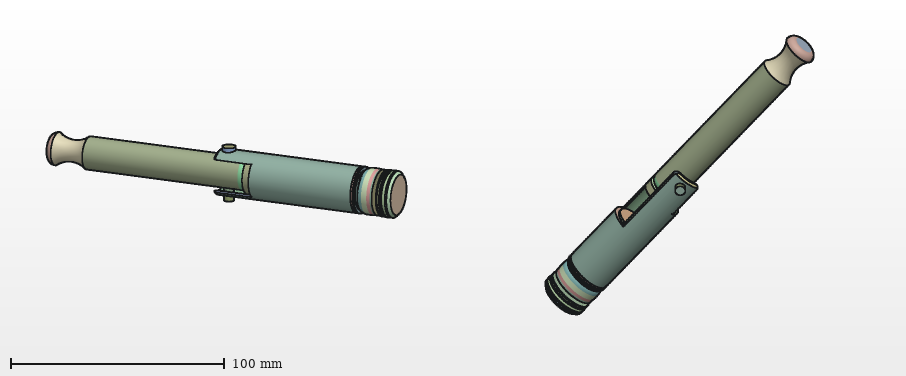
import cadquery as cq
import math

sleeve_diameter = 22.2
bore_diameter = 18.3
fork_start = 86.3
sleeve_end = 159.4
fork_chamfer = 1.0
fork_corner_radius = 2.3
back_cut_y = 6.2
back_cut_end = 125.1
front_slot_width = 16.0
front_slot_end = 105.8
plug_diameter = 18.1
plug_height = 1.0

part_length = 177.5
relief_diameter = 21.8
relief_width = 1.0
sleeve_relief_start = 157.6
flange_relief_start = 171.0
ring_groove_diameter = 18.8
shoulder_start = 160.8
shoulder_diameter = 20.5
shoulder_end = 163.1
ring_land_end = 165.8
ring_taper_end = 167.4
ring_end = 168.5
neck_diameter = 11.5
flange_start = 170.5
seal_diameter = 22.5
seal_center = 174.0
seal_width = 1.8
seal_groove_diameter = 20.5
seal_groove_width = 2.5
end_chamfer_start = 176.0
end_face_diameter = 19.2

rod_diameter = 15.8
rod_edge_radius = 3.4
waist_diameter = 10.5
waist_end = 19.3
rod_end = 101.7
disc_diameter = plug_diameter
disc_thickness = front_slot_end - rod_end

pin_x = 91.2
pin_diameter = 4.8
pin_head_diameter = 6.4
pin_head_bottom = 10.5
pin_top = 12.8
pin_bottom = -13.7

sleeve_radius = sleeve_diameter / 2
rod_radius = rod_diameter / 2
rod_offset_y = (bore_diameter - rod_diameter) / 2


def cylinder_x(diameter, start, end):
    """Cylinder on the X axis between two X positions."""
    return cq.Workplane("YZ", origin=(start, 0, 0)).circle(diameter / 2).extrude(end - start)


def box_between(low, high):
    """Box given by two opposite corners."""
    sizes = [b - a for a, b in zip(low, high)]
    return cq.Workplane("XY").box(*sizes, centered=False).translate(low)


def revolve_x(profile):
    """Revolve a closed XY profile about the X axis."""
    return profile.close().revolve(360, (0, 0, 0), (1, 0, 0))


def relief_groove(start):
    """Shallow ring of material to remove from the sleeve diameter."""
    end = start + relief_width
    return cylinder_x(sleeve_diameter, start, end).cut(cylinder_x(relief_diameter, start, end))


def make_sleeve():
    tube = cylinder_x(sleeve_diameter, fork_start, sleeve_end)
    tube = tube.faces("<X").chamfer(fork_chamfer)
    tube = tube.cut(cylinder_x(bore_diameter, fork_start, back_cut_end))

    back_cut = box_between(
        (fork_start, back_cut_y, -sleeve_radius),
        (back_cut_end, sleeve_radius, sleeve_radius),
    )
    half_slot = front_slot_width / 2
    front_slot = box_between(
        (fork_start, -sleeve_radius, -half_slot), (front_slot_end, 0, half_slot)
    )
    tube = tube.cut(back_cut).cut(front_slot)

    arm_front_y = -math.sqrt(sleeve_radius**2 - half_slot**2)
    for edge_y, inward in ((back_cut_y, -1), (arm_front_y, 1)):
        tangent_x = fork_start + fork_corner_radius
        tangent_y = edge_y + inward * fork_corner_radius
        mid_inset = fork_corner_radius * (1 - math.sqrt(0.5))
        trim = (
            cq.Workplane("XY", origin=(0, 0, -sleeve_radius))
            .moveTo(fork_start, edge_y)
            .lineTo(tangent_x, edge_y)
            .threePointArc(
                (fork_start + mid_inset, edge_y + inward * mid_inset),
                (fork_start, tangent_y),
            )
            .close()
            .extrude(sleeve_diameter)
        )
        tube = tube.cut(trim)

    plug = cylinder_x(plug_diameter, back_cut_end - plug_height, sleeve_end)
    return tube.union(plug).cut(relief_groove(sleeve_relief_start))


def shoulder_arc_middle():
    """Middle point of the shoulder arc, which runs into the ring without a corner."""
    length = shoulder_end - shoulder_start
    rise = sleeve_radius - shoulder_diameter / 2
    arc_radius = (length**2 + rise**2) / (2 * rise)
    half_angle = math.asin(length / arc_radius) / 2
    x = shoulder_end - arc_radius * math.sin(half_angle)
    y = sleeve_radius - arc_radius * (1 - math.cos(half_angle))
    return x, y


def make_end_rings():
    seal_groove_start = seal_center - seal_groove_width / 2
    seal_groove_end = seal_center + seal_groove_width / 2
    profile = (
        cq.Workplane("XY")
        .moveTo(sleeve_end, 0)
        .lineTo(sleeve_end, ring_groove_diameter / 2)
        .lineTo(shoulder_start, ring_groove_diameter / 2)
        .lineTo(shoulder_start, shoulder_diameter / 2)
        .threePointArc(shoulder_arc_middle(), (shoulder_end, sleeve_radius))
        .lineTo(ring_land_end, sleeve_radius)
        .lineTo(ring_taper_end, relief_diameter / 2)
        .lineTo(ring_end, relief_diameter / 2)
        .lineTo(ring_end, neck_diameter / 2)
        .lineTo(flange_start, neck_diameter / 2)
        .lineTo(flange_start, sleeve_radius)
        .lineTo(seal_groove_start, sleeve_radius)
        .lineTo(seal_groove_start, seal_groove_diameter / 2)
        .lineTo(seal_groove_end, seal_groove_diameter / 2)
        .lineTo(seal_groove_end, sleeve_radius)
        .lineTo(end_chamfer_start, sleeve_radius)
        .lineTo(part_length, end_face_diameter / 2)
        .lineTo(part_length, 0)
    )
    seal_section_radius = seal_width / 2
    seal_section = (
        cq.Workplane("XY")
        .moveTo(seal_center, seal_diameter / 2 - seal_section_radius)
        .circle(seal_section_radius)
    )
    seal = seal_section.revolve(360, (0, 0, 0), (1, 0, 0))
    return revolve_x(profile).cut(relief_groove(flange_relief_start)).union(seal)


def make_rod():
    waist_middle = (rod_edge_radius + waist_end) / 2
    rod = cylinder_x(rod_diameter, 0, rod_end).faces("<X or >X").edges().fillet(rod_edge_radius)
    waist = revolve_x(
        cq.Workplane("XY")
        .moveTo(rod_edge_radius, rod_radius)
        .threePointArc((waist_middle, waist_diameter / 2), (waist_end, rod_radius))
    )
    rod = rod.cut(waist).translate((0, rod_offset_y, 0))
    return rod.union(cylinder_x(disc_diameter, rod_end, rod_end + disc_thickness))


def make_pin():
    pin = cq.Workplane("XY", origin=(pin_x, 0, pin_bottom)).circle(pin_diameter / 2)
    head = cq.Workplane("XY", origin=(pin_x, 0, pin_head_bottom)).circle(pin_head_diameter / 2)
    return pin.extrude(pin_top - pin_bottom).union(head.extrude(pin_top - pin_head_bottom))


result = make_sleeve().union(make_end_rings()).union(make_pin()).union(make_rod())